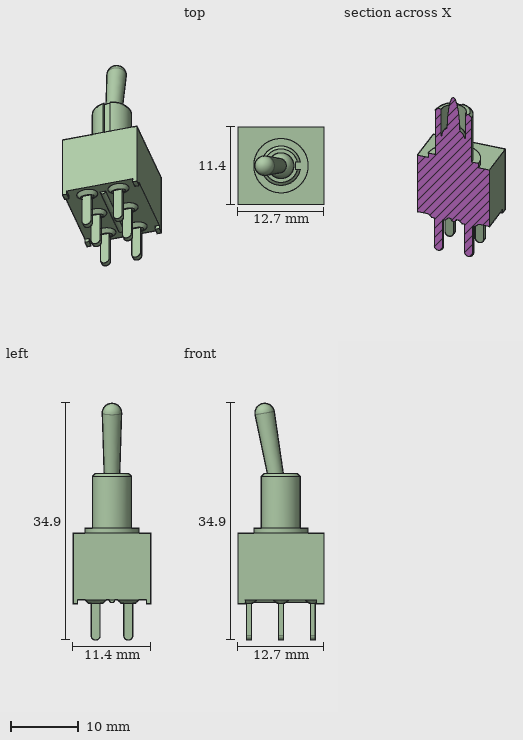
import cadquery as cq
import math


body_x = 12.7
body_y = 11.43
body_top = 10.4
foot_x = 1.12
foot_y = 0.65
foot_height = 0.59

flange_diameter = 8.0
flange_height = 0.75
flange_top = body_top + flange_height
bushing_diameter = 5.8
bushing_radius = bushing_diameter / 2
bushing_height = 8.8
bushing_top = body_top + bushing_height
bushing_chamfer = 0.43
bore_diameter = 3.8
keyway_width = 1.05
keyway_floor = 2.14

tip_z = 29.53
lever_tilt = 10.0
lever_tip_radius = 1.45
lever_base_radius = 1.03
pivot_z = 14.5
lever_length = (tip_z - lever_tip_radius - pivot_z) / math.cos(math.radians(lever_tilt))

overall_height = 34.87
pin_bottom = tip_z - overall_height
pin_x = 0.75
pin_y = 1.35
pin_pitch_x = 4.7
pin_pitch_y = 4.8
pin_columns = 3
pin_rows = 2

mound_root_x = 2.4
mound_root_y = 3.15
mound_end_x = 1.1
mound_end_y = 2.1
mound_height = 0.5

rib_radius = 0.42
rib_length = 2 * pin_pitch_x


def make_body():
    """Housing block with a cross-shaped recess that leaves four corner feet."""
    body = cq.Workplane("XY").box(body_x, body_y, body_top, centered=(True, True, False))
    recess_along_x = cq.Workplane("XY").box(
        body_x, body_y - 2 * foot_y, foot_height, centered=(True, True, False)
    )
    recess_along_y = cq.Workplane("XY").box(
        body_x - 2 * foot_x, body_y, foot_height, centered=(True, True, False)
    )
    return body.cut(recess_along_x).cut(recess_along_y)


def make_bushing():
    """Flanged tube with a chamfered rim, closed below the pivot, and a keyway on +X."""
    flange = cq.Workplane("XY").workplane(offset=body_top).circle(flange_diameter / 2).extrude(flange_height)
    barrel = (
        cq.Workplane("XY")
        .workplane(offset=flange_top)
        .circle(bushing_radius)
        .extrude(bushing_top - flange_top)
        .faces(">Z")
        .chamfer(bushing_chamfer)
    )
    bore = (
        cq.Workplane("XY")
        .workplane(offset=pivot_z)
        .circle(bore_diameter / 2)
        .extrude(bushing_top - pivot_z)
    )
    keyway = cq.Workplane("XY").box(
        bushing_radius, keyway_width, bushing_top - flange_top, centered=(False, True, False)
    ).translate((keyway_floor, 0, flange_top))
    return flange.union(barrel).cut(bore).cut(keyway)


def make_lever():
    """Pivot ball that fills the bore, and a tapered lever with a domed tip."""
    lever = (
        cq.Workplane("XZ")
        .lineTo(lever_base_radius, 0)
        .lineTo(lever_tip_radius, lever_length)
        .radiusArc((0, lever_length + lever_tip_radius), -lever_tip_radius)
        .close()
        .revolve(360, (0, 0, 0), (0, 1, 0))
    )
    ball = cq.Workplane("XY").sphere(bore_diameter / 2)
    tilted_lever = lever.rotate((0, 0, 0), (0, 1, 0), -lever_tilt)
    return ball.union(tilted_lever).translate((0, 0, pivot_z))


def make_pin():
    """Flat pin with a full-round end, and the mound at its root."""
    tip_radius = pin_y / 2
    pin = (
        cq.Workplane("YZ")
        .moveTo(-tip_radius, foot_height)
        .lineTo(-tip_radius, pin_bottom + tip_radius)
        .threePointArc((0, pin_bottom), (tip_radius, pin_bottom + tip_radius))
        .lineTo(tip_radius, foot_height)
        .close()
        .extrude(pin_x / 2, both=True)
    )
    mound = (
        cq.Workplane("XY")
        .workplane(offset=foot_height)
        .ellipse(mound_root_x / 2, mound_root_y / 2)
        .workplane(offset=-mound_height)
        .ellipse(mound_end_x / 2, mound_end_y / 2)
        .loft()
    )
    return pin.union(mound)


def make_rib():
    """Half-round rib along X on the underside of the housing."""
    return (
        cq.Workplane("YZ")
        .center(0, foot_height)
        .circle(rib_radius)
        .extrude(rib_length / 2, both=True)
    )


result = make_body().union(make_bushing()).union(make_lever()).union(make_rib())
pin = make_pin()
for column in range(pin_columns):
    for row in range(pin_rows):
        x = (column - (pin_columns - 1) / 2) * pin_pitch_x
        y = (row - (pin_rows - 1) / 2) * pin_pitch_y
        result = result.union(pin.translate((x, y, 0)))